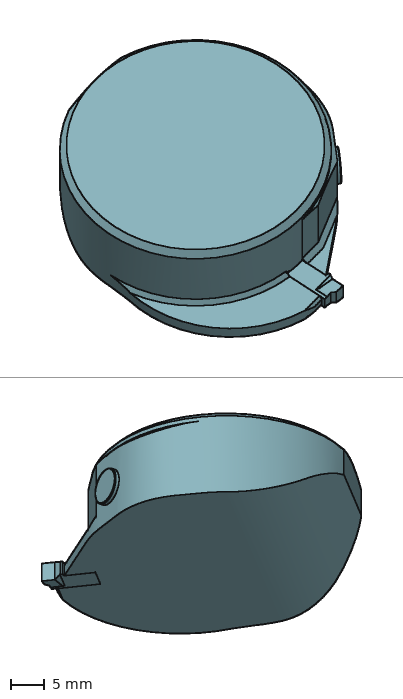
import cadquery as cq
import math

DISC_R = 20.0
DISC_HEIGHT = 13.9
DISC_CHAMFER = 1.0
FLAT_X = DISC_CHAMFER - DISC_R

RAMP_TOP_Z = 8.6
RAMP_R = 15.0

BLADE_TOP = 2.15
BLADE_CENTER_X = 7.0
BLADE_CENTER_Y = -0.55
BLADE_START_X = 3.45
BLADE_END_X = 26.5
BLADE_END_BEVEL = 0.45
STEP_CHAMFER = 0.7

JAW_TOP = 1.8
JAW_ANGLE = 30.0
JAW_EDGE_DIST = 21.2
JAW_WALL_ANGLE = 20.0
JAW_WALL_DIST = 20.12
JAW_BEVEL = 0.85
JAW_CORNER_R = 16.4

BULGE_Y = 20.1
BULGE_R = 13.1
BULGE_FACE_ANGLE = 45.0
BULGE_FACE_DIST = 20.65
BULGE_TOP = 12.2
BOSS_D = 5.5
BOSS_HEIGHT = 0.7
BOSS_CHAMFER = 0.15
BOSS_Z = 5.8

INSERT_BACK_X = 19.65
INSERT_SEAT_Y = -3.28
INSERT_TOP_Y = 0.25
TIP_X = FLAT_X + 46.8
TIP_Y = 0.1
RIDGE_BASE_X = 24.4
RIDGE_START_X = 24.5
RIDGE_END_X = 24.8
RIDGE_Y = 0.8
FRONT_BASE_X = 27.0
FRONT_LOW = (27.05, -1.85)
FRONT_HIGH = (27.6, -1.3)
HEAD_START_X = 24.9
HEAD_FULL_X = 25.8
HEAD_OVERHANG = 0.4
HEAD_CORNER = 0.15
RELIEF_END_Y = -2.35
RELIEF_END_OVERHANG = 0.15
HEAD_END_Y = -2.7

MARGIN = 9.35


def unit(angle):
    """Unit vector in the XY plane at an angle from +X."""
    return math.cos(math.radians(angle)), math.sin(math.radians(angle))


def meet(angle_a, dist_a, angle_b, dist_b):
    """Point shared by two lines, each given by its facing angle and distance from the axis."""
    ax, ay = unit(angle_a)
    bx, by = unit(angle_b)
    det = ax * by - ay * bx
    return (dist_a * by - dist_b * ay) / det, (ax * dist_b - bx * dist_a) / det


def bevel_ring(radius, z, size):
    """45 degree cone frustum that spreads downwards from a radius at height z."""
    return cq.Workplane("XY").workplane(offset=z - size).circle(radius + size).workplane(
        offset=size).circle(radius).loft()


def make_disc():
    return cq.Workplane("XY").circle(DISC_R).extrude(DISC_HEIGHT).faces(">Z").chamfer(DISC_CHAMFER)


def bulge_and_jaw_outline():
    """Outline of the +X +Y quarter: rounded bulge, flat face, sloping jaw edge."""
    face_x, face_y = unit(BULGE_FACE_ANGLE)
    arc_y = BULGE_Y - BULGE_R
    arc_x = (BULGE_FACE_DIST - BULGE_R - arc_y * face_y) / face_x
    mid_x, mid_y = unit((BULGE_FACE_ANGLE + 90) / 2)
    corner_x, corner_y = meet(BULGE_FACE_ANGLE, BULGE_FACE_DIST - JAW_CORNER_R,
                              JAW_ANGLE, JAW_EDGE_DIST - JAW_CORNER_R)
    blend_mid_x, blend_mid_y = unit((BULGE_FACE_ANGLE + JAW_ANGLE) / 2)
    jaw_x, jaw_y = unit(JAW_ANGLE)
    return (
        cq.Workplane("XY").moveTo(0, INSERT_TOP_Y).lineTo(0, DISC_R).lineTo(arc_x, BULGE_Y)
        .threePointArc((arc_x + BULGE_R * mid_x, arc_y + BULGE_R * mid_y),
                       (arc_x + BULGE_R * face_x, arc_y + BULGE_R * face_y))
        .lineTo(corner_x + JAW_CORNER_R * face_x, corner_y + JAW_CORNER_R * face_y)
        .threePointArc((corner_x + JAW_CORNER_R * blend_mid_x, corner_y + JAW_CORNER_R * blend_mid_y),
                       (corner_x + JAW_CORNER_R * jaw_x, corner_y + JAW_CORNER_R * jaw_y))
        .lineTo(*meet(JAW_ANGLE, JAW_EDGE_DIST, 90, INSERT_TOP_Y))
        .close()
    )


def jaw_wall_outline(offset):
    """Area inside the two flat walls above the jaw, moved outwards by an offset."""
    wall_x = DISC_R + offset
    wall_dist = JAW_WALL_DIST + offset
    return (
        (0, INSERT_TOP_Y), (wall_x, INSERT_TOP_Y),
        meet(0, wall_x, JAW_WALL_ANGLE, wall_dist),
        meet(90, DISC_R + MARGIN, JAW_WALL_ANGLE, wall_dist),
        (0, DISC_R + MARGIN),
    )


def make_bulge_and_jaw():
    jaw = bulge_and_jaw_outline().extrude(JAW_TOP)
    upper = bulge_and_jaw_outline().extrude(BULGE_TOP)
    wall = cq.Workplane("XY").polyline(jaw_wall_outline(0)).close().extrude(DISC_HEIGHT)
    bevel = (
        cq.Workplane("XY").workplane(offset=JAW_TOP).polyline(jaw_wall_outline(JAW_BEVEL)).close()
        .workplane(offset=JAW_BEVEL).polyline(jaw_wall_outline(0)).close().loft(ruled=True)
    )
    sloping_top = bevel_ring(DISC_R, BULGE_TOP, BULGE_TOP)
    bulge = upper.intersect(wall).intersect(sloping_top)
    return jaw.union(bulge).union(upper.intersect(bevel))


def make_boss():
    face_x, face_y = unit(BULGE_FACE_ANGLE)
    root = BULGE_FACE_DIST - BOSS_HEIGHT
    plane = cq.Plane(origin=(root * face_x, root * face_y, BOSS_Z),
                     xDir=(-face_y, face_x, 0), normal=(face_x, face_y, 0))
    return (cq.Workplane(plane).circle(BOSS_D / 2).extrude(2 * BOSS_HEIGHT)
            .faces(">X").edges().chamfer(BOSS_CHAMFER))


def blade_arc_point(x):
    """Point of the round -Y edge of the blade at a given x."""
    return x, BLADE_CENTER_Y - math.sqrt(DISC_R ** 2 - (x - BLADE_CENTER_X) ** 2)


def blade_outline():
    mid_x, mid_y = unit(-45)
    return (
        cq.Workplane("XY").moveTo(0, INSERT_TOP_Y).lineTo(0, -DISC_R)
        .lineTo(*blade_arc_point(BLADE_START_X))
        .threePointArc((BLADE_CENTER_X + DISC_R * mid_x, BLADE_CENTER_Y + DISC_R * mid_y),
                       blade_arc_point(BLADE_END_X))
        .lineTo(BLADE_END_X, INSERT_TOP_Y)
        .close()
    )


def make_blade():
    end_x = BLADE_END_X - BLADE_END_BEVEL
    end_profile = (
        cq.Workplane("XZ").workplane(offset=INSERT_TOP_Y - MARGIN)
        .polyline([(0, 0), (end_x, 0), (BLADE_END_X, BLADE_END_BEVEL),
                   (BLADE_END_X, BLADE_TOP - BLADE_END_BEVEL), (end_x, BLADE_TOP), (0, BLADE_TOP)])
        .close().extrude(DISC_R + 2 * MARGIN)
    )
    blade = blade_outline().extrude(BLADE_TOP).intersect(end_profile)
    step_top = BLADE_TOP + STEP_CHAMFER
    step = blade_outline().extrude(step_top).intersect(bevel_ring(DISC_R, step_top, STEP_CHAMFER))
    return blade.union(step)


def make_ramp_cutter():
    """Removes the lower -X edge: a 45 degree slope that runs tangentially into the underside."""
    corner = math.sqrt(0.5)
    slope_end_z = RAMP_R * (1 - corner)
    slope_end_x = FLAT_X + RAMP_TOP_Z - slope_end_z
    arc_x = slope_end_x + RAMP_R * corner
    mid_x, mid_z = unit(-90 - 45 / 2)
    return (
        cq.Workplane("XZ").moveTo(arc_x, 0)
        .threePointArc((arc_x + RAMP_R * mid_x, RAMP_R * (1 + mid_z)), (slope_end_x, slope_end_z))
        .lineTo(FLAT_X, RAMP_TOP_Z).lineTo(FLAT_X, DISC_HEIGHT)
        .lineTo(FLAT_X - MARGIN, DISC_HEIGHT).lineTo(FLAT_X - MARGIN, 0)
        .close().extrude(DISC_R + MARGIN, both=True)
    )


def make_insert_slot():
    """Slot for the insert: through the blade, and through the bevel outside the disc wall."""
    length = TIP_X - INSERT_BACK_X
    width = INSERT_TOP_Y - INSERT_SEAT_Y
    slot = cq.Workplane("XY").box(length, width, BLADE_TOP + STEP_CHAMFER, centered=False).translate(
        (INSERT_BACK_X, INSERT_SEAT_Y, 0))
    disc_above = cq.Workplane("XY").workplane(offset=BLADE_TOP).circle(DISC_R).extrude(DISC_HEIGHT)
    return slot.cut(disc_above)


def make_holder():
    return (make_disc().union(make_bulge_and_jaw()).union(make_blade()).union(make_boss())
            .cut(make_ramp_cutter()).cut(make_insert_slot()))


def insert_outline():
    """Side of the insert: shank, chip ridge, rake face, and front relief."""
    return cq.Workplane("XY").polyline([
        (INSERT_BACK_X, INSERT_SEAT_Y), (FRONT_BASE_X, INSERT_SEAT_Y), FRONT_LOW, FRONT_HIGH,
        (TIP_X, TIP_Y), (HEAD_FULL_X, TIP_Y), (RIDGE_END_X, RIDGE_Y), (RIDGE_START_X, RIDGE_Y),
        (RIDGE_BASE_X, INSERT_TOP_Y), (INSERT_BACK_X, INSERT_TOP_Y)]).close()


def make_insert():
    shank = insert_outline().extrude(BLADE_TOP)
    low = -HEAD_OVERHANG
    high = BLADE_TOP + HEAD_OVERHANG
    head = insert_outline().extrude(high - low).translate((0, 0, low))
    widening = (
        cq.Workplane("XZ").workplane(offset=-MARGIN)
        .polyline([(HEAD_START_X, 0), (HEAD_FULL_X, low), (TIP_X - HEAD_CORNER, low),
                   (TIP_X, low + HEAD_CORNER), (TIP_X, high - HEAD_CORNER),
                   (TIP_X - HEAD_CORNER, high), (HEAD_FULL_X, high), (HEAD_START_X, BLADE_TOP)])
        .close().extrude(2 * MARGIN)
    )
    side_relief = (
        cq.Workplane("YZ")
        .polyline([(HEAD_END_Y, 0), (RELIEF_END_Y, -RELIEF_END_OVERHANG), (TIP_Y, low), (RIDGE_Y, 0),
                   (RIDGE_Y, BLADE_TOP), (TIP_Y, high),
                   (RELIEF_END_Y, BLADE_TOP + RELIEF_END_OVERHANG), (HEAD_END_Y, BLADE_TOP)])
        .close().extrude(TIP_X)
    )
    return shank.union(head.intersect(widening).intersect(side_relief))


holder = make_holder()
insert = make_insert()
result = cq.Compound.makeCompound([holder.val(), insert.val()])